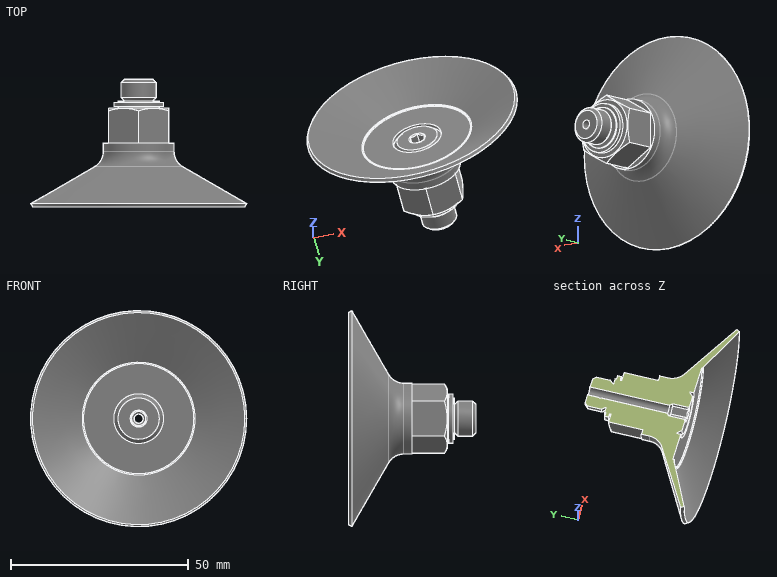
import cadquery as cq
import math


CUP_DIAMETER = 60.9
CONE_ANGLE = math.radians(30)
RIM_HEIGHT = 1.0
COLLAR_RADIUS = 20.0 / 2
COLLAR_BOTTOM = 15.6
COLLAR_TOP = 17.95
RIM_RADIUS = CUP_DIAMETER / 2
MOUTH_RADIUS = RIM_RADIUS - RIM_HEIGHT * math.tan(CONE_ANGLE)

WALL_FOOT_RADIUS = 15.9
LEDGE_Y = 6.75
FLOOR_RADIUS = 15.5
FLOOR_STEP = 0.35

PLUG_RADIUS = 14.0 / 2
PLUG_FACE_RADIUS = 11.6 / 2
GROOVE_DEPTH = PLUG_RADIUS - PLUG_FACE_RADIUS

HEX_ACROSS_FLATS = 17.0
HEX_TOP = 27.95
HEX_TOP_RADIUS = 8.3
HEX_CHAMFER_ANGLE = math.radians(30)

WASHER_RADIUS = 14.0 / 2
WASHER_HUB_RADIUS = 11.6 / 2
WASHER_BOTTOM = 28.25
WASHER_TOP = 29.45
WASHER_HUB_TOP = 29.85
NECK_RADIUS = 8.0 / 2
THREAD_RADIUS = 10.0 / 2
THREAD_BOTTOM = 30.85
THREAD_CHAMFER = 1.0
STUD_TOP = 36.0

BORE_DIAMETER = 2.5
SOCKET_ACROSS_FLATS = 3.95
SOCKET_MOUTH_RADIUS = 2.4
SOCKET_DEPTH = 4.9

FLOOR_Y = LEDGE_Y + FLOOR_STEP


def revolve(profile):
    """Turn a closed (radius, Y) profile around the Y axis."""
    return profile.close().revolve(360, (0, 0, 0), (0, 1, 0))


def turned(points):
    return revolve(cq.Workplane("XY").polyline(points))


def hexagonal_prism(across_flats, bottom, top):
    """Hexagonal prism along Y with two corners on the Z axis."""
    corner_radius = across_flats / 2 / math.cos(math.pi / 6)
    corners = []
    for index in range(6):
        angle = math.pi / 2 + index * math.pi / 3
        corners.append((corner_radius * math.cos(angle), corner_radius * math.sin(angle)))
    plane = cq.Workplane("XZ", origin=(0, bottom, 0))
    return plane.polyline(corners).close().extrude(bottom - top)


def make_cup():
    turn = math.pi / 2 - CONE_ANGLE
    cone_drop = RIM_RADIUS - COLLAR_RADIUS
    collar_height = COLLAR_BOTTOM - RIM_HEIGHT
    fillet_radius = (collar_height - cone_drop * math.tan(CONE_ANGLE)) / (
        math.sin(turn) - (1 - math.cos(turn)) * math.tan(CONE_ANGLE)
    )

    def fillet_point(angle):
        radius = COLLAR_RADIUS + fillet_radius * (1 - math.cos(angle))
        return (radius, COLLAR_BOTTOM - fillet_radius * math.sin(angle))

    profile = (
        cq.Workplane("XY")
        .moveTo(0, FLOOR_Y)
        .lineTo(PLUG_FACE_RADIUS, FLOOR_Y)
        .lineTo(PLUG_RADIUS, FLOOR_Y + GROOVE_DEPTH)
        .lineTo(PLUG_RADIUS, FLOOR_Y)
        .lineTo(FLOOR_RADIUS, FLOOR_Y)
        .lineTo(FLOOR_RADIUS, LEDGE_Y)
        .lineTo(WALL_FOOT_RADIUS, LEDGE_Y)
        .lineTo(MOUTH_RADIUS, 0)
        .lineTo(RIM_RADIUS, RIM_HEIGHT)
        .lineTo(*fillet_point(turn))
        .threePointArc(fillet_point(turn / 2), fillet_point(0))
        .lineTo(COLLAR_RADIUS, COLLAR_TOP)
        .lineTo(0, COLLAR_TOP)
    )
    return revolve(profile)


def make_hex_body():
    base_radius = HEX_ACROSS_FLATS
    base_drop = (base_radius - HEX_TOP_RADIUS) * math.tan(HEX_CHAMFER_ANGLE)
    trimming_cone = turned([
        (0, COLLAR_TOP),
        (base_radius, COLLAR_TOP),
        (base_radius, HEX_TOP - base_drop),
        (HEX_TOP_RADIUS, HEX_TOP),
        (0, HEX_TOP),
    ])
    return hexagonal_prism(HEX_ACROSS_FLATS, COLLAR_TOP, HEX_TOP).intersect(trimming_cone)


def make_stud():
    return turned([
        (0, HEX_TOP),
        (WASHER_HUB_RADIUS, HEX_TOP),
        (WASHER_HUB_RADIUS, WASHER_BOTTOM),
        (WASHER_RADIUS, WASHER_BOTTOM),
        (WASHER_RADIUS, WASHER_TOP),
        (WASHER_HUB_RADIUS, WASHER_TOP),
        (WASHER_HUB_RADIUS, WASHER_HUB_TOP),
        (NECK_RADIUS, WASHER_HUB_TOP),
        (THREAD_RADIUS, THREAD_BOTTOM),
        (THREAD_RADIUS, STUD_TOP - THREAD_CHAMFER),
        (THREAD_RADIUS - THREAD_CHAMFER, STUD_TOP),
        (0, STUD_TOP),
    ])


def make_air_passage():
    bore_radius = BORE_DIAMETER / 2
    socket_radius = SOCKET_ACROSS_FLATS / 2
    socket_end = FLOOR_Y + SOCKET_DEPTH
    bore = turned([
        (0, FLOOR_Y),
        (SOCKET_MOUTH_RADIUS, FLOOR_Y),
        (socket_radius, FLOOR_Y + SOCKET_MOUTH_RADIUS - socket_radius),
        (socket_radius, socket_end),
        (bore_radius, socket_end + socket_radius - bore_radius),
        (bore_radius, STUD_TOP),
        (0, STUD_TOP),
    ])
    return bore.union(hexagonal_prism(SOCKET_ACROSS_FLATS, FLOOR_Y, socket_end))


result = make_cup().union(make_hex_body()).union(make_stud()).cut(make_air_passage())